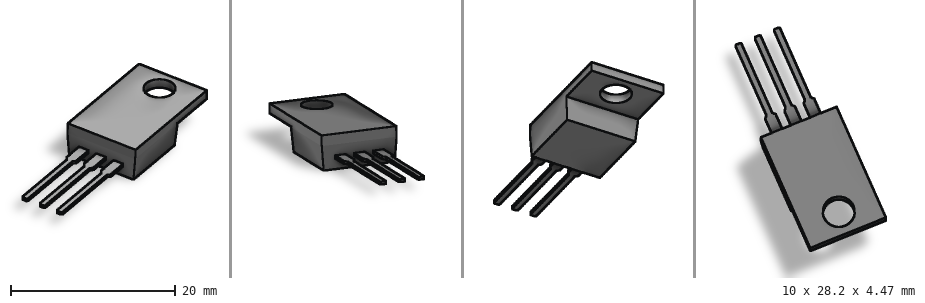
import cadquery as cq

total_length = 28.25
width = 10.0
height = 4.47
lead_length = 12.77

body_length = 9.15
parting_depth = 1.35
front_draft = 0.1
lower_draft = 0.25

tab_thickness = 1.27
tab_back = total_length - lead_length
embedded_width = 8.42
embedded_front = 1.65
hole_diameter = 3.87
hole_to_back = 2.9

lead_count = 3
lead_pitch = 2.55
lead_thickness = 0.37
lead_depth = 2.88
wide_width = 1.4
narrow_width = 0.8
wide_length = 2.7
tip_chamfer = 0.1


def box(size_x, y_front, y_back, thickness):
    """Block centred on X with its top face at Z = 0."""
    return (
        cq.Workplane("XY")
        .box(size_x, y_back - y_front, thickness, centered=(True, False, False))
        .translate((0, y_front, -thickness))
    )


def make_body():
    """Plastic with a drafted upper front and a drafted lower portion."""
    upper = (
        cq.Workplane("YZ", origin=(-width / 2, 0, 0))
        .polyline([
            (0, -parting_depth),
            (front_draft, 0),
            (body_length, 0),
            (body_length, -parting_depth),
        ])
        .close()
        .extrude(width)
    )
    lower = (
        cq.Workplane("XY", origin=(0, body_length / 2, -parting_depth))
        .rect(width, body_length)
        .workplane(offset=parting_depth - height)
        .center(0, -lower_draft / 2)
        .rect(width - 2 * lower_draft, body_length - lower_draft)
        .loft(combine=True)
    )
    return upper.union(lower)


def make_tab():
    """Full-width mounting tab with a narrower embedded tongue and a hole."""
    exposed = box(width, body_length, tab_back, tab_thickness)
    tongue = box(embedded_width, embedded_front, body_length, tab_thickness)
    hole = (
        cq.Workplane("XY")
        .center(0, tab_back - hole_to_back)
        .circle(hole_diameter / 2)
        .extrude(-tab_thickness)
    )
    return exposed.union(tongue).cut(hole)


def make_lead(x):
    """Flat lead with 45 degree shoulders and a chamfered tip."""
    wide = wide_width / 2
    narrow = narrow_width / 2
    shoulder_end = wide_length + wide - narrow
    right_side = [
        (wide, 0),
        (wide, -wide_length),
        (narrow, -shoulder_end),
        (narrow, tip_chamfer - lead_length),
        (narrow - tip_chamfer, -lead_length),
    ]
    left_side = [(-px, py) for px, py in reversed(right_side)]
    return (
        cq.Workplane("XY")
        .polyline(right_side + left_side)
        .close()
        .extrude(lead_thickness)
        .translate((x, 0, -lead_depth - lead_thickness / 2))
    )


tab = make_tab()
result = make_body().cut(tab).union(tab, clean=False)
for index in range(lead_count):
    lead_x = (index - (lead_count - 1) / 2) * lead_pitch
    result = result.union(make_lead(lead_x), clean=False)